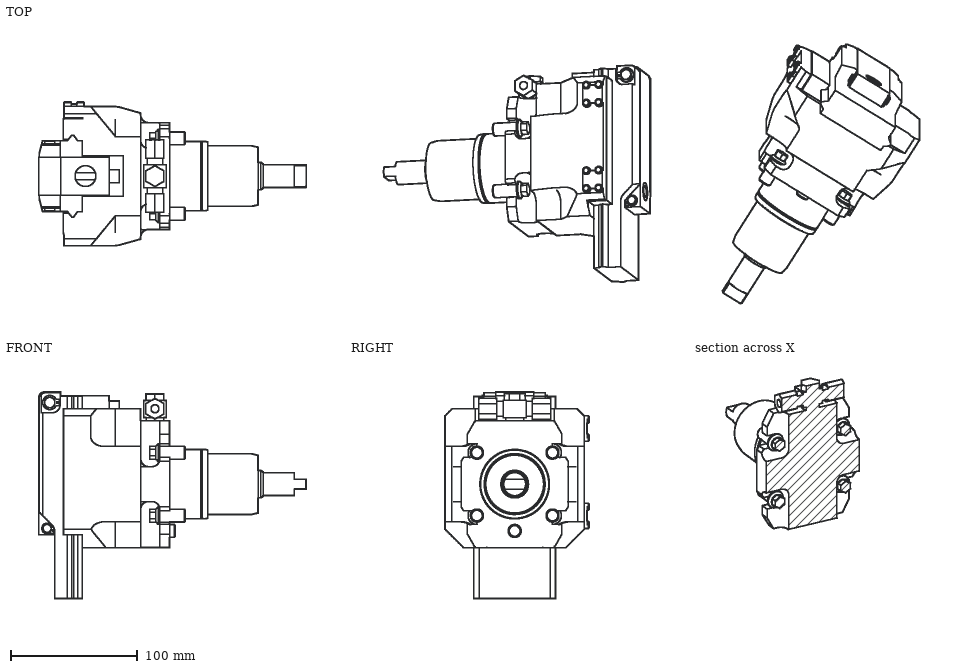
import cadquery as cq
import math


HEX_SIDES = 6
HEX_TURN = 90.0

BODY_FRONT_X = -83.8
BODY_RIM_X = -83.2
BODY_BACK_X = -22.7
BODY_HALF_WIDTH = 55.0
BODY_BACK_HALF_WIDTH = 49.7
BODY_TOP_Z = 59.5
BODY_BOTTOM_Z = -50.3
FRONT_BOTTOM_Z = -40.0
TOP_CHAMFER = 5.8
BOTTOM_CHAMFER = 14.9
TAPER_START_X = -44.4
TAPER_ARC_MID = (-41.0, 54.7)
TAPER_ARC_END = (-37.6, 53.9)
RIM_INNER_Y = 44.7
RIM_OUTER_Y = 47.0
SLIT_Y = 45.5
SLIT_WIDTH = 0.6
SLIT_DEPTH = 15.3

POCKET_WALL_Y = 31.2
POCKET_FLOOR_Z = 29.7
POCKET_BEND_X = -42.6
POCKET_EXIT_X = -62.3
POCKET_RADIUS = 10.0
DIAGONAL_RADIUS = 8.3

SLIDE_FRONT_X = -90.5
SLIDE_BACK_X = -68.7
SLIDE_HALF_WIDTH = 28.0
SLIDE_BOTTOM_Z = -90.3
SLIDE_TOP_Z = 69.2
RAIL_HALF_WIDTH = 32.3
RAIL_BASE_X = (-80.5, -72.5)
RAIL_CREST_X = (-77.0, -75.7)
SLIDE_CLEARANCE = 1.0
CLEARANCE_DEPTH = 3.5

STRAP_FRONT_X = -103.2
STRAP_BACK_X = -85.7
STRAP_HALF_WIDTH = 15.0
STRAP_TOP_Z = 72.7
STRAP_RADIUS = 5.0
WING_TOP_Z = 72.1
WING_KNEE_Y = 18.2
WING_FRONT_X = -102.7
WING_EDGE_X = -100.1
WING_BEVEL_TOP_Z = -21.6
WING_BEVEL_RUN = 10.4
WING_FOOT_BOTTOM_Z = -38.0
WING_FOOT_RADIUS = 8.0
WING_RADIUS = 6.0
EAR_Y = 24.2
EAR_BACK_X = -86.3
EAR_BOTTOM_Z = 56.3
EAR_RADIUS = 6.0
TOP_PIN_X = -94.4
TOP_PIN_Z = 64.3
TOP_PIN_RADIUS = 4.1
TOP_PIN_HALF_LENGTH = 27.4
TOP_LUG_TURN = 0.0
RING_RADIUS = 5.6
RING_THICKNESS = 1.3
RING_LUG_REACH = 1.9
RING_LUG_SIZE = 2.0
RING_LUG_GAP = 1.0
FOOT_PIN_X = -96.5
FOOT_PIN_Z = -34.9
FOOT_PIN_RADIUS = 3.2
FOOT_PIN_HALF_LENGTH = 17.7
FOOT_RING_RADIUS = 4.1
FOOT_LUG_TURN = 20.0
STRAP_SCREW_Z = -25.0
STRAP_SCREW_RADIUS = 4.4
STRAP_SEAT_RADIUS = 7.1
STRAP_SCREW_DEPTH = 0.3
STRAP_SEAT_DEPTH = 0.1

KEY_BACK_X = -47.6
KEY_TOP_Z = 69.8
KEY_SLOT_BACK_X = -36.6
KEY_SLOT_HALF_WIDTH = 16.0
KEY_SLOT_FLOOR_Z = 42.0
KEY_SLOT_RADIUS = 8.0
KEY_HOLE_X = -66.3
KEY_HOLE_RADIUS = 8.2
KEY_HOLE_DEPTH = 22.0
KEY_ROD_RADIUS = 2.7
KEY_ROD_Z = 54.0
KEY_SCREW_RADIUS = 5.1
KEY_SCREW_LENGTH = 8.0
KEY_SCREW_Z = 60.6

FLANGE_HALF_WIDTH = 42.2
FLANGE_HALF_HEIGHT = 50.0
FLANGE_LUG_X = -7.8
NECK_FLARE = 6.0
LUG_SHOULDER = (37.2, 39.4)
LUG_TOP_Y = 31.2
LUG_BOTTOM_Z = 31.7
PLATE_TOP = (40.2, 21.0)
PLATE_SHOULDER_Z = 18.0
CHANNEL_WALL_Y = 22.0
CHANNEL_FLOOR_Z = 13.8
CHANNEL_RADIUS = 6.0
BOLT_Y = 29.8
BOLT_Z = 24.8
BOLT_RADIUS = 5.1
BOLT_END_X = 12.4
BOLT_CHAMFER = 0.8
BOLT_COLLAR_RADIUS = 7.0
BOLT_COLLAR_X = -10.8
BOLT_COLLAR_CHAMFER = 1.9
BOLT_HEAD_X = -15.5
BOLT_HEAD_CORNERS = 10.3
PORT_Z = -36.9
PORT_RADIUS = 5.1
PORT_LENGTH = 4.4
PORT_CHAMFER = 0.8

MANIFOLD_X = -11.5
MANIFOLD_SIZE = 18.0
MANIFOLD_BOTTOM_Z = 52.5
MANIFOLD_TOP_Z = 66.0
MANIFOLD_FOOT_RADIUS = 7.0
HEX_ACROSS_FLATS = 14.2
HEX_ACROSS_CORNERS = HEX_ACROSS_FLATS / math.cos(math.pi / HEX_SIDES)
PLUG_TOP_Z = 71.1
NIPPLE_Z = 59.4
NIPPLE_HEX_START_Y = 14.0
NIPPLE_END_Y = 28.5
NIPPLE_NECK_RADIUS = 6.0
NIPPLE_BORE_RADIUS = 3.1

COVER_X = (-80.3, -70.2)
COVER_Z_PAIRS = ((51.0, 36.6), (-17.8, -32.1))
COVER_THICKNESS = 2.0
BUTTON_RADIUS = 2.9
BUTTON_END_Y = 58.65
BUTTON_CHAMFER = 0.8

SHANK_FLANGE_RADIUS = 27.4
SHANK_GROOVE_RADIUS = 26.9
SHANK_GROOVE_X = (24.6, 25.9)
SHANK_TAPER_X = 28.4
SHANK_STEP_RADIUS = 26.9
SHANK_STEP_X = 30.2
SHANK_RADIUS = 24.0
SHANK_TIP_X = 64.6
SHANK_END_X = 69.8
SHANK_TIP_RADIUS = 22.8
COLLAR_RADIUS = 10.9
COLLAR_STRAIGHT_X = 71.8
COLLAR_END_X = 73.8
COLLAR_END_RADIUS = 9.7
SHAFT_RADIUS = 9.1
TANG_START_X = 98.4
TANG_THICKNESS = 7.7
SHAFT_END_X = 107.85
SHAFT_CHAMFER = 0.5


def box(x_range, y_range, z_range):
    size = [limits[1] - limits[0] for limits in (x_range, y_range, z_range)]
    return cq.Workplane("XY").box(*size, centered=False).translate((x_range[0], y_range[0], z_range[0]))


def rod_x(x_start, x_end, radius, y=0.0, z=0.0):
    return cq.Workplane("YZ", origin=(x_start, y, z)).circle(radius).extrude(x_end - x_start)


def rod_y(y_start, y_end, radius, x, z):
    return cq.Workplane("XZ", origin=(x, y_start, z)).circle(radius).extrude(y_start - y_end)


def rod_z(z_start, z_end, radius, x, y=0.0):
    return cq.Workplane("XY", origin=(x, y, z_start)).circle(radius).extrude(z_end - z_start)


def mirrored_in_y(shape):
    return shape.union(shape.mirror("XZ"))


def in_four_corners(shape):
    """Repeat a shape of the -Y, +Z corner in all four corners about the spindle axis."""
    upper = mirrored_in_y(shape)
    return upper.union(upper.mirror("XY"))


def rounded_channel_profile(plane, wall, floor, radius, reach):
    """Section of an open pocket with one wall, one floor and a round corner between them."""
    return (
        plane.moveTo(wall, floor + reach)
        .lineTo(wall, floor + radius)
        .radiusArc((wall + radius, floor), -radius)
        .lineTo(wall + reach, floor)
        .lineTo(wall + reach, floor + reach)
        .close()
    )


def corner_pockets():
    reach = BODY_HALF_WIDTH
    straight_plane = cq.Workplane(
        cq.Plane(origin=(POCKET_BEND_X, 0, 0), xDir=(0, -1, 0), normal=(-1, 0, 0))
    )
    straight = rounded_channel_profile(
        straight_plane, POCKET_WALL_Y, POCKET_FLOOR_Z, POCKET_RADIUS, reach
    ).extrude(POCKET_BEND_X - BODY_BACK_X)
    run_x = POCKET_EXIT_X - POCKET_BEND_X
    run_y = POCKET_WALL_Y - BODY_HALF_WIDTH
    diagonal_plane = cq.Workplane(
        cq.Plane(
            origin=(POCKET_BEND_X, -POCKET_WALL_Y, 0),
            xDir=(-run_y, run_x, 0),
            normal=(run_x, run_y, 0),
        )
    )
    diagonal = rounded_channel_profile(
        diagonal_plane, 0, POCKET_FLOOR_Z, DIAGONAL_RADIUS, reach
    ).extrude(reach, both=True)
    diagonal = diagonal.intersect(
        box((POCKET_EXIT_X - reach, POCKET_BEND_X), (-2 * reach, 0), (0, 2 * reach))
    )
    return in_four_corners(straight.union(diagonal))


def housing():
    half_outline = (
        cq.Workplane("XY", origin=(0, 0, BODY_BOTTOM_Z))
        .moveTo(BODY_FRONT_X, 0)
        .lineTo(BODY_FRONT_X, RIM_INNER_Y)
        .lineTo(BODY_RIM_X, RIM_OUTER_Y)
        .lineTo(BODY_RIM_X, BODY_HALF_WIDTH)
        .lineTo(TAPER_START_X, BODY_HALF_WIDTH)
        .threePointArc(TAPER_ARC_MID, TAPER_ARC_END)
        .lineTo(BODY_BACK_X, BODY_BACK_HALF_WIDTH)
        .lineTo(BODY_BACK_X, 0)
        .close()
    )
    body = mirrored_in_y(half_outline.extrude(BODY_TOP_Z - BODY_BOTTOM_Z))
    section = (
        cq.Workplane("YZ", origin=(BODY_FRONT_X, 0, 0))
        .moveTo(BODY_HALF_WIDTH - BOTTOM_CHAMFER, BODY_BOTTOM_Z)
        .lineTo(BODY_HALF_WIDTH, BODY_BOTTOM_Z + BOTTOM_CHAMFER)
        .lineTo(BODY_HALF_WIDTH, BODY_TOP_Z - TOP_CHAMFER)
        .lineTo(BODY_HALF_WIDTH - TOP_CHAMFER, BODY_TOP_Z)
        .lineTo(0, BODY_TOP_Z)
        .lineTo(0, BODY_BOTTOM_Z)
        .close()
        .extrude(BODY_BACK_X - BODY_FRONT_X)
    )
    body = body.intersect(mirrored_in_y(section))
    full_width = (-BODY_HALF_WIDTH, BODY_HALF_WIDTH)
    front_undercut = box((BODY_FRONT_X, SLIDE_BACK_X), full_width, (BODY_BOTTOM_Z, FRONT_BOTTOM_Z))
    groove_half_width = SLIDE_HALF_WIDTH + SLIDE_CLEARANCE
    slide_groove = box(
        (BODY_FRONT_X, BODY_FRONT_X + CLEARANCE_DEPTH),
        (-groove_half_width, groove_half_width),
        (BODY_BOTTOM_Z, BODY_TOP_Z),
    )
    slit = box(
        (BODY_FRONT_X, BODY_FRONT_X + SLIT_DEPTH),
        (SLIT_Y - SLIT_WIDTH / 2, SLIT_Y + SLIT_WIDTH / 2),
        (BODY_BOTTOM_Z, BODY_TOP_Z),
    )
    key_slot = (
        box(
            (SLIDE_BACK_X, KEY_SLOT_BACK_X),
            (-KEY_SLOT_HALF_WIDTH, KEY_SLOT_HALF_WIDTH),
            (KEY_SLOT_FLOOR_Z, BODY_TOP_Z),
        )
        .edges("|X and <Z")
        .fillet(KEY_SLOT_RADIUS)
    )
    return body.cut(front_undercut).cut(slide_groove).cut(slit).cut(key_slot).cut(corner_pockets())


def slide():
    half_outline = (
        cq.Workplane("XY", origin=(0, 0, SLIDE_BOTTOM_Z))
        .moveTo(SLIDE_FRONT_X, 0)
        .lineTo(SLIDE_FRONT_X, SLIDE_HALF_WIDTH)
        .lineTo(RAIL_BASE_X[0], SLIDE_HALF_WIDTH)
        .lineTo(RAIL_CREST_X[0], RAIL_HALF_WIDTH)
        .lineTo(RAIL_CREST_X[1], RAIL_HALF_WIDTH)
        .lineTo(RAIL_BASE_X[1], SLIDE_HALF_WIDTH)
        .lineTo(SLIDE_BACK_X, SLIDE_HALF_WIDTH)
        .lineTo(SLIDE_BACK_X, 0)
        .close()
    )
    return mirrored_in_y(half_outline.extrude(SLIDE_TOP_Z - SLIDE_BOTTOM_Z))


def key_block():
    block = box(
        (STRAP_BACK_X, KEY_BACK_X),
        (-STRAP_HALF_WIDTH, STRAP_HALF_WIDTH),
        (KEY_SLOT_FLOOR_Z, KEY_TOP_Z),
    )
    screw = rod_x(KEY_BACK_X, KEY_BACK_X + KEY_SCREW_LENGTH, KEY_SCREW_RADIUS, z=KEY_SCREW_Z)
    return block.union(screw)


def cut_key_hole(part):
    hole = rod_z(KEY_TOP_Z - KEY_HOLE_DEPTH, KEY_TOP_Z, KEY_HOLE_RADIUS, KEY_HOLE_X)
    cross_rod = rod_x(
        KEY_HOLE_X - KEY_HOLE_RADIUS, KEY_HOLE_X + KEY_HOLE_RADIUS, KEY_ROD_RADIUS, z=KEY_ROD_Z
    )
    return part.cut(hole).union(cross_rod)


def strap_wings():
    bevel_bottom_x = STRAP_FRONT_X + WING_BEVEL_RUN
    bevel_bottom_z = WING_BEVEL_TOP_Z - WING_BEVEL_RUN
    side = (
        cq.Workplane("XZ", origin=(0, SLIDE_HALF_WIDTH, 0))
        .moveTo(STRAP_FRONT_X, WING_TOP_Z - WING_RADIUS)
        .radiusArc((STRAP_FRONT_X + WING_RADIUS, WING_TOP_Z), WING_RADIUS)
        .lineTo(EAR_BACK_X, WING_TOP_Z)
        .lineTo(EAR_BACK_X, SLIDE_TOP_Z)
        .lineTo(SLIDE_FRONT_X, SLIDE_TOP_Z)
        .lineTo(SLIDE_FRONT_X, WING_FOOT_BOTTOM_Z)
        .radiusArc((bevel_bottom_x, bevel_bottom_z), -WING_FOOT_RADIUS)
        .lineTo(STRAP_FRONT_X, WING_BEVEL_TOP_Z)
        .close()
        .extrude(2 * SLIDE_HALF_WIDTH)
    )
    half_outline = (
        cq.Workplane("XY", origin=(0, 0, SLIDE_BOTTOM_Z))
        .moveTo(STRAP_BACK_X, 0)
        .lineTo(WING_FRONT_X, 0)
        .lineTo(WING_FRONT_X, WING_KNEE_Y)
        .lineTo(WING_EDGE_X, SLIDE_HALF_WIDTH)
        .lineTo(STRAP_BACK_X, SLIDE_HALF_WIDTH)
        .close()
    )
    return side.intersect(mirrored_in_y(half_outline.extrude(WING_TOP_Z - SLIDE_BOTTOM_Z)))


def ear_recesses():
    recess = (
        box(
            (STRAP_FRONT_X, EAR_BACK_X),
            (EAR_Y, SLIDE_HALF_WIDTH),
            (EAR_BOTTOM_Z, STRAP_TOP_Z),
        )
        .edges("|Y and >X and <Z")
        .fillet(EAR_RADIUS)
    )
    return mirrored_in_y(recess)


def pin_with_rings(half_length, radius, ring_radius, ring_y, x, z, lug_turn):
    """Pin along Y with a lugged snap ring near each end; the lugs point to +X, tipped by lug_turn."""
    pin = rod_y(-half_length, half_length, radius, x, z)
    ring = rod_y(ring_y, ring_y + RING_THICKNESS, ring_radius, x, z)
    lug_end = x + ring_radius + RING_LUG_REACH
    for z_start in (RING_LUG_GAP / 2, -RING_LUG_GAP / 2 - RING_LUG_SIZE):
        lug = box(
            (x + radius, lug_end),
            (ring_y, ring_y + RING_THICKNESS),
            (z + z_start, z + z_start + RING_LUG_SIZE),
        )
        ring = ring.union(lug.rotate((x, 0, z), (x, 1, z), lug_turn))
    return pin.union(mirrored_in_y(ring))


def clamp_strap():
    strap = box(
        (STRAP_FRONT_X, SLIDE_FRONT_X),
        (-STRAP_HALF_WIDTH, STRAP_HALF_WIDTH),
        (FRONT_BOTTOM_Z, STRAP_TOP_Z),
    )
    cap = box(
        (SLIDE_FRONT_X, STRAP_BACK_X),
        (-STRAP_HALF_WIDTH, STRAP_HALF_WIDTH),
        (SLIDE_TOP_Z, STRAP_TOP_Z),
    )
    strap = strap.edges("|Y and <X and >Z").fillet(STRAP_RADIUS)
    seat = rod_x(STRAP_FRONT_X, STRAP_FRONT_X + STRAP_SEAT_DEPTH, STRAP_SEAT_RADIUS, z=STRAP_SCREW_Z)
    screw = rod_x(STRAP_FRONT_X, STRAP_FRONT_X + STRAP_SCREW_DEPTH, STRAP_SCREW_RADIUS, z=STRAP_SCREW_Z)
    strap = strap.union(cap).cut(seat).cut(screw)
    return strap.union(strap_wings())


def strap_pins():
    top_pin = pin_with_rings(
        TOP_PIN_HALF_LENGTH, TOP_PIN_RADIUS, RING_RADIUS, EAR_Y, TOP_PIN_X, TOP_PIN_Z, TOP_LUG_TURN
    )
    foot_pin = pin_with_rings(
        FOOT_PIN_HALF_LENGTH,
        FOOT_PIN_RADIUS,
        FOOT_RING_RADIUS,
        STRAP_HALF_WIDTH,
        FOOT_PIN_X,
        FOOT_PIN_Z,
        FOOT_LUG_TURN,
    )
    return top_pin.union(foot_pin)


def flange_half_section():
    """Half section of the flange, from its bottom centre round the +Y side to its top centre."""
    upper = [
        (FLANGE_HALF_WIDTH, PLATE_SHOULDER_Z),
        PLATE_TOP,
        (LUG_SHOULDER[0], LUG_BOTTOM_Z),
        LUG_SHOULDER,
        (LUG_TOP_Y, FLANGE_HALF_HEIGHT),
        (0, FLANGE_HALF_HEIGHT),
    ]
    lower = [(y, -z) for y, z in reversed(upper)]
    return cq.Workplane("YZ", origin=(BODY_BACK_X, 0, 0)).polyline(lower + upper).close()


def flange_channels():
    reach = BODY_TOP_Z
    channel = (
        box(
            (BODY_BACK_X, FLANGE_LUG_X),
            (-reach, -CHANNEL_WALL_Y),
            (CHANNEL_FLOOR_Z, reach),
        )
        .edges("<Z or (|Z and >Y)")
        .edges("not(<Y)")
        .fillet(CHANNEL_RADIUS)
    )
    return in_four_corners(channel)


def bolt_slots():
    opening = box((FLANGE_LUG_X, 0), (-FLANGE_HALF_WIDTH, -BOLT_Y), (PLATE_TOP[1], LUG_BOTTOM_Z))
    return in_four_corners(opening)


def flange_bolts():
    shank = rod_x(FLANGE_LUG_X, BOLT_END_X, BOLT_RADIUS, y=-BOLT_Y, z=BOLT_Z)
    shank = shank.faces(">X").chamfer(BOLT_CHAMFER)
    collar = rod_x(BOLT_COLLAR_X, FLANGE_LUG_X, BOLT_COLLAR_RADIUS, y=-BOLT_Y, z=BOLT_Z)
    collar = collar.faces("<X").chamfer(BOLT_COLLAR_CHAMFER)
    head = (
        cq.Workplane("YZ", origin=(BOLT_HEAD_X, -BOLT_Y, BOLT_Z))
        .transformed(rotate=(0, 0, HEX_TURN))
        .polygon(HEX_SIDES, BOLT_HEAD_CORNERS)
        .extrude(BOLT_COLLAR_X - BOLT_HEAD_X)
    )
    return in_four_corners(shank.union(collar).union(head))


def flange():
    plate = mirrored_in_y(flange_half_section().extrude(-BODY_BACK_X))
    flare = (
        cq.Workplane("XY", origin=(0, 0, -CHANNEL_FLOOR_Z))
        .moveTo(BODY_BACK_X, FLANGE_HALF_WIDTH)
        .lineTo(BODY_BACK_X, FLANGE_HALF_WIDTH + NECK_FLARE)
        .radiusArc((BODY_BACK_X + NECK_FLARE, FLANGE_HALF_WIDTH), -NECK_FLARE)
        .close()
        .extrude(2 * CHANNEL_FLOOR_Z)
    )
    port = rod_x(0, PORT_LENGTH, PORT_RADIUS, z=PORT_Z).faces(">X").chamfer(PORT_CHAMFER)
    plate = plate.cut(flange_channels()).cut(bolt_slots())
    return plate.union(mirrored_in_y(flare)).union(port).union(flange_bolts())


def coolant_manifold():
    half_size = MANIFOLD_SIZE / 2
    block = box(
        (MANIFOLD_X - half_size, MANIFOLD_X + half_size),
        (-half_size, half_size),
        (MANIFOLD_BOTTOM_Z, MANIFOLD_TOP_Z),
    )
    foot = rod_z(FLANGE_HALF_HEIGHT, MANIFOLD_BOTTOM_Z, MANIFOLD_FOOT_RADIUS, MANIFOLD_X)
    plug = (
        cq.Workplane("XY", origin=(MANIFOLD_X, 0, MANIFOLD_TOP_Z))
        .transformed(rotate=(0, 0, HEX_TURN))
        .polygon(HEX_SIDES, HEX_ACROSS_CORNERS)
        .extrude(PLUG_TOP_Z - MANIFOLD_TOP_Z)
    )
    neck = rod_y(-NIPPLE_HEX_START_Y, 0, NIPPLE_NECK_RADIUS, MANIFOLD_X, NIPPLE_Z)
    nut = (
        cq.Workplane("XZ", origin=(MANIFOLD_X, -NIPPLE_HEX_START_Y, NIPPLE_Z))
        .transformed(rotate=(0, 0, HEX_TURN))
        .polygon(HEX_SIDES, HEX_ACROSS_CORNERS)
        .extrude(NIPPLE_END_Y - NIPPLE_HEX_START_Y)
    )
    bore = rod_y(-NIPPLE_END_Y, -half_size, NIPPLE_BORE_RADIUS, MANIFOLD_X, NIPPLE_Z)
    nipples = mirrored_in_y(neck.union(nut).cut(bore))
    return foot.union(block).union(plug).union(nipples)


def cover_plates():
    covers = cq.Workplane("XY")
    for z_pair in COVER_Z_PAIRS:
        plate = box(
            (COVER_X[0] - BUTTON_RADIUS, COVER_X[1] + BUTTON_RADIUS),
            (BODY_HALF_WIDTH, BODY_HALF_WIDTH + COVER_THICKNESS),
            (z_pair[1], z_pair[0]),
        )
        covers = covers.union(plate)
        for x in COVER_X:
            for z in z_pair:
                button = rod_y(BODY_HALF_WIDTH, BUTTON_END_Y, BUTTON_RADIUS, x, z)
                button = button.faces(">Y").chamfer(BUTTON_CHAMFER)
                covers = covers.union(button)
    return covers


def shank_and_shaft():
    solid = (
        cq.Workplane("XY")
        .moveTo(0, 0)
        .lineTo(0, SHANK_FLANGE_RADIUS)
        .lineTo(SHANK_GROOVE_X[0], SHANK_FLANGE_RADIUS)
        .lineTo(SHANK_GROOVE_X[0], SHANK_GROOVE_RADIUS)
        .lineTo(SHANK_GROOVE_X[1], SHANK_GROOVE_RADIUS)
        .lineTo(SHANK_GROOVE_X[1], SHANK_FLANGE_RADIUS)
        .lineTo(SHANK_TAPER_X, SHANK_FLANGE_RADIUS)
        .lineTo(SHANK_STEP_X, SHANK_STEP_RADIUS)
        .lineTo(SHANK_STEP_X, SHANK_RADIUS)
        .lineTo(SHANK_TIP_X, SHANK_RADIUS)
        .lineTo(SHANK_END_X, SHANK_TIP_RADIUS)
        .lineTo(SHANK_END_X, COLLAR_RADIUS)
        .lineTo(COLLAR_STRAIGHT_X, COLLAR_RADIUS)
        .lineTo(COLLAR_END_X, COLLAR_END_RADIUS)
        .lineTo(COLLAR_END_X, SHAFT_RADIUS)
        .lineTo(SHAFT_END_X - SHAFT_CHAMFER, SHAFT_RADIUS)
        .lineTo(SHAFT_END_X, SHAFT_RADIUS - SHAFT_CHAMFER)
        .lineTo(SHAFT_END_X, 0)
        .close()
        .revolve(360, (0, 0, 0), (1, 0, 0))
    )
    tang_flat = box(
        (TANG_START_X, SHAFT_END_X),
        (-SHAFT_RADIUS, SHAFT_RADIUS),
        (TANG_THICKNESS / 2, SHAFT_RADIUS),
    )
    return solid.cut(tang_flat).cut(tang_flat.mirror("XY"))


holder = housing().union(slide()).union(clamp_strap()).cut(ear_recesses()).union(strap_pins())
holder = cut_key_hole(holder.union(key_block()))
result = holder.union(flange()).union(coolant_manifold()).union(cover_plates()).union(shank_and_shaft())